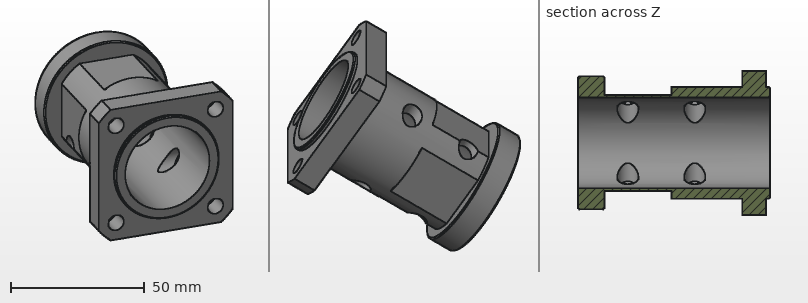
import cadquery as cq

length = 72.0
collar_length = 10.0
neck_end = 35.0
flange_start = 61.5
flange_end = 70.5

body_diameter = 42.0
bore_diameter = 34.0
collar_diameter = 50.0
edge_chamfer = 0.5

across_flats = 36.0

flange_side = 54.0
flange_corner_diameter = 70.0
bolt_hole_diameter = 6.2
bolt_spacing = 40.0

cross_hole_diameter = 8.0
cross_hole_drop = 11.2
cross_hole_positions = (18.7, 43.8)


def cylinder(start, end, diameter):
    """Solid cylinder on the X axis between two stations."""
    return cq.Workplane("YZ", origin=(start, 0, 0)).circle(diameter / 2).extrude(end - start)


def square_bar(start, end, side):
    """Square bar centred on the X axis between two stations."""
    return cq.Workplane("YZ", origin=(start, 0, 0)).rect(side, side).extrude(end - start)


def make_flange():
    blank = square_bar(flange_start, flange_end, flange_side)
    flange = blank.intersect(cylinder(flange_start, flange_end, flange_corner_diameter))
    bolt_holes = (
        cq.Workplane("YZ", origin=(flange_start, 0, 0))
        .rect(bolt_spacing, bolt_spacing, forConstruction=True)
        .vertices()
        .circle(bolt_hole_diameter / 2)
        .extrude(flange_end - flange_start)
    )
    return flange.cut(bolt_holes)


def make_cross_holes():
    return (
        cq.Workplane("XZ")
        .pushPoints([(x, -cross_hole_drop) for x in cross_hole_positions])
        .circle(cross_hole_diameter / 2)
        .extrude(body_diameter, both=True)
    )


collar = cylinder(0, collar_length, collar_diameter).edges().chamfer(edge_chamfer)
neck = cylinder(0, neck_end, body_diameter).intersect(square_bar(0, neck_end, across_flats))
body = cylinder(neck_end, length, body_diameter).faces(">X").edges().chamfer(edge_chamfer)

outside = collar.union(neck).union(body).union(make_flange())
result = outside.cut(cylinder(0, length, bore_diameter)).cut(make_cross_holes())